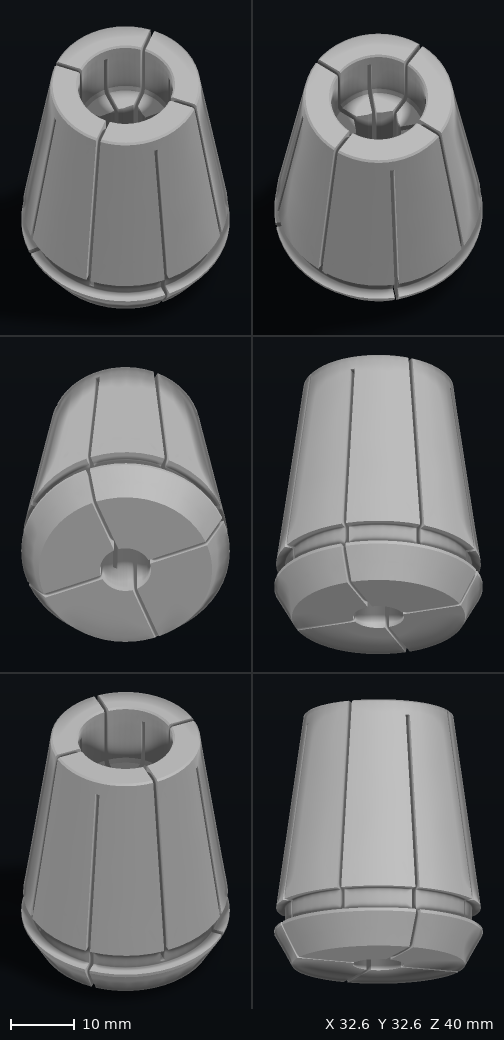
import cadquery as cq
import math

height = 40.0
top_chamfer = 0.3

flange_radius = 16.3
flange_top = 5.5
flange_band = 0.5
bottom_radius = 13.55

groove_radius = 14.65
groove_top = 9.1
groove_fillet = 0.15

cone_base_radius = 16.05
cone_angle = 8.0
cone_top_radius = cone_base_radius - (height - groove_top) * math.tan(math.radians(cone_angle))

large_bore_radius = 7.5
bore_mouth_chamfer = 0.3
bore_floor_radius = 7.1
bore_floor = 29.3
bore_floor_cone_height = 0.7
drive_square = 6.8
drive_relief_radius = 3.55
drive_bottom = 20.0
shank_bore_radius = 4.0

slot_width = 0.7
bottom_slot_top = 37.6
top_slot_floor = 6.0
slot_span = 2 * flange_radius + slot_width


def make_body():
    """Solid of revolution: flange, groove and clamping cone."""
    profile = (
        cq.Workplane("XZ")
        .polyline([
            (0, 0),
            (bottom_radius, 0),
            (flange_radius, flange_top - flange_band),
            (flange_radius, flange_top),
            (groove_radius, flange_top),
            (groove_radius, groove_top),
            (cone_base_radius, groove_top),
            (cone_top_radius, height),
            (0, height),
        ])
        .close()
    )
    body = profile.revolve(360, (0, 0, 0), (0, 1, 0))
    body = body.faces(">Z").chamfer(top_chamfer)
    groove_edges = body.faces("%CYLINDER").edges(cq.selectors.RadiusNthSelector(0))
    return groove_edges.fillet(groove_fillet)


def make_bores():
    """Stepped hollow: wide bore with a coned floor, drive square, shank bore."""
    wide_bore_bottom = bore_floor + bore_floor_cone_height
    mouth_radius = large_bore_radius + bore_mouth_chamfer
    wide_bore = (
        cq.Workplane("XZ")
        .polyline([
            (0, bore_floor),
            (bore_floor_radius, bore_floor),
            (large_bore_radius, wide_bore_bottom),
            (large_bore_radius, height - bore_mouth_chamfer),
            (mouth_radius, height),
            (0, height),
        ])
        .close()
        .revolve(360, (0, 0, 0), (0, 1, 0))
    )
    drive_depth = bore_floor - drive_bottom
    drive_plane = cq.Workplane("XY").workplane(offset=drive_bottom)
    drive = drive_plane.rect(drive_square, drive_square).extrude(drive_depth)
    relief = drive_plane.circle(drive_relief_radius).extrude(drive_depth)
    shank_bore = cq.Workplane("XY").circle(shank_bore_radius).extrude(drive_bottom)
    return wide_bore.union(drive).union(relief).union(shank_bore)


def make_slots(first_angle, bottom, top):
    """Two crossing blades that cut four radial slots between two heights."""
    blade = (
        cq.Workplane("XY")
        .workplane(offset=bottom)
        .rect(slot_span, slot_width)
        .extrude(top - bottom)
        .rotate((0, 0, 0), (0, 0, 1), first_angle)
    )
    crossing_blade = blade.rotate((0, 0, 0), (0, 0, 1), 90)
    return blade.union(crossing_blade)


bottom_slots = make_slots(0, 0, bottom_slot_top)
top_slots = make_slots(45, top_slot_floor, height)

result = make_body().cut(make_bores()).cut(bottom_slots).cut(top_slots)